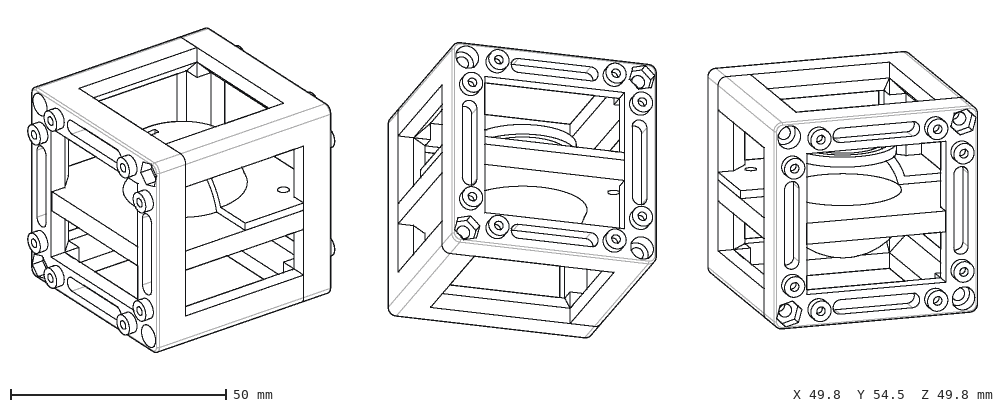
import cadquery as cq
cage_width = 49.8
half_width = cage_width / 2
cage_depth = 50.15
half_depth = cage_depth / 2
opening = 34.0
half_opening = opening / 2
bar_middle = 20.7
bar_inner_chamfer = 4.1
long_edge_fillet = 1.95
face_rim_fillet = 0.5

overall_length = 54.5
stud_diameter = 4.95
stud_height = (overall_length - cage_depth) / 2
stud_hole_diameter = 2.05
stud_offset = 14.3
slot_length = 21.15
slot_width = 3.5
slot_depth = 4.0
bolt_offset = 21.3
bolt_hole_diameter = 3.1
bolt_head_diameter = 5.5
bolt_head_depth = 4.0
nut_across_flats = 5.5
nut_depth = 3.0
nut_corner_angle = 15

insert_shift_y = 0.15
insert_shift_z = 0.1
plate_width = 49.8
lower_plate_thickness = 5.05
upper_plate_thickness = 1.9
plate_hole_diameter = 2.7
plate_hole_offset = 16.9

bowl_inner_radius = 13.7
bowl_wall = 2.2
dome_inner_radius = 14.0
dome_wall = 2.0
dome_drop = 3.05
dome_opening_diameter = 16.25

disc_diameter = 25.0
disc_thickness = 2.4
disc_bottom = 8.95

collar_top = 15.2
collar_outer_diameter = 21.15
collar_inner_diameter = 18.15
lip_inner_diameter = 16.7
lip_height = 0.5
lip_bevel_height = 0.5


def block(x_range, y_range, z_range):
    """Box between the given limits along X, Y and Z."""
    size = [high - low for low, high in (x_range, y_range, z_range)]
    low_corner = (x_range[0], y_range[0], z_range[0])
    return cq.Workplane("XY").box(*size, centered=False).translate(low_corner)


def bar_section(plane, outer_edge):
    """Bar section at the (+, +) side of the plane, chamfered toward the cage centre."""
    knee = half_opening + bar_inner_chamfer
    return cq.Workplane(plane).polyline([
        (knee, half_opening),
        (half_width, half_opening),
        (half_width, outer_edge),
        (half_opening, outer_edge),
        (half_opening, knee),
    ]).close()


def bar_along_y():
    """One bar along Y, between the front and rear face rings, at +X +Z."""
    return bar_section("XZ", half_width).extrude(half_opening, both=True)


def face_ring():
    """Square ring of four chamfered bars and four full corner blocks at the -Y side."""
    corner = (half_opening, half_width)
    upright = bar_section("XY", half_depth).extrude(half_opening, both=True).mirror("XZ")
    corner_block = block(corner, (-half_depth, -half_opening), corner)
    quarter = upright.union(corner_block)
    ring = quarter
    for turn in (90, 180, 270):
        ring = ring.union(quarter.rotate((0, 0, 0), (0, 1, 0), turn))
    return ring


def on_front_face():
    """Workplane on the -Y face with its normal pointing outward."""
    return cq.Workplane("XZ", origin=(0, -half_depth, 0))


def cage_half():
    """Front face ring with two diagonally opposite bars along Y, and all its face features."""
    bar = bar_along_y()
    body = face_ring()
    for turn in (90, 270):
        body = body.union(bar.rotate((0, 0, 0), (0, 1, 0), turn))
    envelope = (
        cq.Workplane("XY").box(cage_width, cage_depth, cage_width)
        .edges("|Y").fillet(long_edge_fillet)
        .faces("<Y").edges().fillet(face_rim_fillet)
    )
    body = body.intersect(envelope)

    for side in (-1, 1):
        across = on_front_face().center(0, side * bar_middle).slot2D(slot_length, slot_width)
        upright = on_front_face().center(side * bar_middle, 0).slot2D(slot_length, slot_width, 90)
        body = body.cut(across.extrude(-slot_depth)).cut(upright.extrude(-slot_depth))

    stud_places = []
    for side in (-1, 1):
        for end in (-1, 1):
            stud_places.append((side * bar_middle, end * stud_offset))
            stud_places.append((end * stud_offset, side * bar_middle))
    studs = on_front_face().pushPoints(stud_places)
    body = body.union(studs.circle(stud_diameter / 2).extrude(stud_height))
    body = body.cut(studs.circle(stud_hole_diameter / 2).extrude(stud_height))

    head_places = [(-bolt_offset, bolt_offset), (bolt_offset, -bolt_offset)]
    nut_places = [(bolt_offset, bolt_offset), (-bolt_offset, -bolt_offset)]
    holes = on_front_face().pushPoints(head_places + nut_places).circle(bolt_hole_diameter / 2)
    body = body.cut(holes.extrude(-cage_depth))
    heads = on_front_face().pushPoints(head_places).circle(bolt_head_diameter / 2)
    body = body.cut(heads.extrude(-bolt_head_depth))
    for x, z in nut_places:
        nut = (
            cq.Workplane("XZ").polygon(6, nut_across_flats, circumscribed=True)
            .extrude(-nut_depth)
            .rotate((0, 0, 0), (0, 1, 0), nut_corner_angle)
            .translate((x, -half_depth, z))
        )
        body = body.cut(nut)
    return body


def sphere(radius, height=0):
    """Sphere on the Z axis with its centre at the given height."""
    return cq.Workplane("XY").sphere(radius).translate((0, 0, height))


def plate(bottom, thickness):
    """Square plate with a small hole near each of its two rear corners."""
    body = cq.Workplane("XY").workplane(offset=bottom).rect(plate_width, plate_width).extrude(thickness)
    holes = (
        cq.Workplane("XY").workplane(offset=bottom)
        .pushPoints([(-plate_hole_offset, plate_hole_offset), (plate_hole_offset, plate_hole_offset)])
        .circle(plate_hole_diameter / 2).extrude(thickness)
    )
    return body.cut(holes)


def place_in_cage(body):
    """Move an insert body to its place and notch it around the cage's four upright bars."""
    body = body.translate((0, insert_shift_y, insert_shift_z))
    upright = bar_section("XY", cage_depth).extrude(half_opening, both=True)
    pair_of_uprights = upright.union(upright.mirror("YZ"))
    return body.cut(pair_of_uprights).cut(pair_of_uprights.mirror("XZ"))


def bowl_plate():
    """Lower plate with a half-sphere bowl hanging below it."""
    below = block((-half_width, half_width), (-half_width, half_width), (-half_width, 0))
    bowl_shell = sphere(bowl_inner_radius + bowl_wall).intersect(below)
    lower_plate = plate(-lower_plate_thickness, lower_plate_thickness)
    return lower_plate.union(bowl_shell).cut(sphere(bowl_inner_radius))


def lipped_collar():
    """Half ring standing on the open top of the dome, with an inward lip at its upper end."""
    inner_radius = collar_inner_diameter / 2
    outer_radius = collar_outer_diameter / 2
    lip_radius = lip_inner_diameter / 2
    lip_bottom = collar_top - lip_height
    profile = cq.Workplane("XZ").polyline([
        (inner_radius, disc_bottom),
        (outer_radius, disc_bottom),
        (outer_radius, collar_top),
        (lip_radius, collar_top),
        (lip_radius, lip_bottom),
        (inner_radius, lip_bottom - lip_bevel_height),
    ]).close()
    return profile.revolve(180, (0, 0, 0), (0, -1, 0))


def dome_plate():
    """Rear half of a plate with an open-topped dome and the collar above it."""
    rear_space = block((-half_width, half_width), (0, half_width), (0, disc_bottom))
    shell = plate(0, upper_plate_thickness).union(sphere(dome_inner_radius + dome_wall, -dome_drop))
    throat = cq.Workplane("XY").circle(dome_opening_diameter / 2).extrude(disc_bottom)
    shell = shell.cut(sphere(dome_inner_radius, -dome_drop)).cut(throat).intersect(rear_space)
    return shell.union(lipped_collar())


def slotted_disc():
    """Full disc with a half-ring slot that the collar passes through."""
    full_disc = cq.Workplane("XY").workplane(offset=disc_bottom).circle(disc_diameter / 2).extrude(disc_thickness)
    return full_disc.cut(lipped_collar())


front_half = cage_half()
rear_half = front_half.rotate((0, 0, 0), (0, 0, 1), 180)
bowl = place_in_cage(bowl_plate())
dome = place_in_cage(dome_plate())
disc = slotted_disc().translate((0, insert_shift_y, insert_shift_z))

result = cq.Compound.makeCompound([
    front_half.solids().val(),
    rear_half.solids().val(),
    bowl.solids().val(),
    dome.solids().val(),
    disc.solids().val(),
])